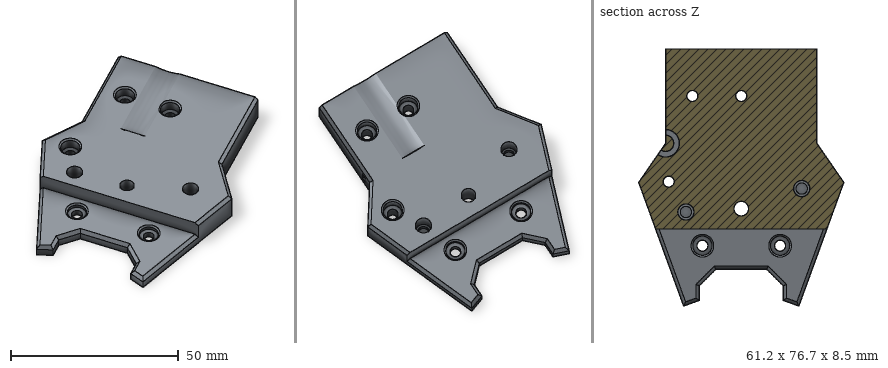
import cadquery as cq

LENGTH = 76.7
WIDTH = 61.2
HEIGHT = 8.5
STEP_HEIGHT = 3.45
STEP_Y = 22.9
EDGE_CHAMFER = 1.0

BACK_HALF_WIDTH = 22.55
SHOULDER_Y = 48.55
WIDEST_Y = 36.9
TIP_X = 17.2
NOTCH_HALF_WIDTH = 12.5
NOTCH_CORNER = 4.9
NOTCH_TOP_Y = 11.0

SCREW_DIAMETER = 3.2
HEAD_DIAMETER = 5.75
HEAD_CHAMFER = 0.5
UPPER_HEAD_FLOOR_Z = 5.0
LOWER_HEAD_FLOOR_Z = 2.0
UPPER_SCREWS = [(-14.6, 62.65), (0.0, 62.65), (-21.6, 37.1)]
LOWER_SCREWS = [(-11.6, 18.0), (11.6, 18.0)]

CENTRE_HOLE_DIAMETER = 4.3
CENTRE_HOLE_Y = 29.1
BLIND_DIAMETER = 4.75
BLIND_DEPTH = 5.4
PILOT_DIAMETER = 3.4
PILOT_FLOOR_Z = 1.5
BLIND_HOLES = [(-16.5, 28.1), (18.0, 35.05)]

GROOVE_X = -6.5
GROOVE_WIDTH = 7.75
GROOVE_DEPTH = 0.5
GROOVE_LENGTH = 27.15

TIE_INNER_RADIUS = 2.45
TIE_OUTER_RADIUS = 4.1
TIE_BOTTOM_Z = 2.2
TIE_HEIGHT = 3.2


def plate(height):
    """Full outline extruded to a height, chamfered on all top edges but the back one."""
    tip_slope = (WIDTH / 2 - TIP_X) / WIDEST_Y
    right_side = [
        (BACK_HALF_WIDTH, LENGTH),
        (BACK_HALF_WIDTH, SHOULDER_Y),
        (WIDTH / 2, WIDEST_Y),
        (TIP_X, 0),
        (NOTCH_HALF_WIDTH, (TIP_X - NOTCH_HALF_WIDTH) * tip_slope),
        (NOTCH_HALF_WIDTH, NOTCH_TOP_Y - NOTCH_CORNER),
        (NOTCH_HALF_WIDTH - NOTCH_CORNER, NOTCH_TOP_Y),
    ]
    left_side = [(-x, y) for x, y in reversed(right_side)]
    body = cq.Workplane("XY").polyline(right_side + left_side).close().extrude(height)
    back_edge = cq.selectors.NearestToPointSelector((0, LENGTH, height))
    top_edges = cq.selectors.StringSyntaxSelector(">Z")
    return body.edges(top_edges - back_edge).chamfer(EDGE_CHAMFER)


def cylinders(points, diameter, bottom, top):
    start = cq.Workplane("XY").workplane(offset=bottom)
    return start.pushPoints(points).circle(diameter / 2).extrude(top - bottom)


def screw_holes(points, floor, top):
    """Through holes with counterbores that open at the given top face."""
    mouth_radius = HEAD_DIAMETER / 2 + HEAD_CHAMFER
    mouth = cq.Solid.makeCone(HEAD_DIAMETER / 2, mouth_radius, HEAD_CHAMFER)
    mouths = cq.Workplane("XY").workplane(offset=top - HEAD_CHAMFER).pushPoints(points)
    mouths = mouths.eachpoint(mouth)
    heads = cylinders(points, HEAD_DIAMETER, floor, top)
    return cylinders(points, SCREW_DIAMETER, 0, top).union(heads).union(mouths)


def groove():
    half = GROOVE_WIDTH / 2
    return (
        cq.Workplane("XZ", origin=(GROOVE_X, LENGTH, HEIGHT))
        .moveTo(-half, 0)
        .threePointArc((0, -GROOVE_DEPTH), (half, 0))
        .close()
        .extrude(GROOVE_LENGTH)
    )


def tie_channel():
    return (
        cq.Workplane("XY", origin=(-BACK_HALF_WIDTH, SHOULDER_Y, TIE_BOTTOM_Z))
        .circle(TIE_OUTER_RADIUS)
        .circle(TIE_INNER_RADIUS)
        .extrude(TIE_HEIGHT)
    )


rear_zone = cq.Workplane("XY").box(WIDTH, LENGTH - STEP_Y, HEIGHT, centered=(True, False, False))
rear_block = plate(HEIGHT).intersect(rear_zone.translate((0, STEP_Y, 0)))
result = plate(STEP_HEIGHT).union(rear_block)

result = result.cut(screw_holes(UPPER_SCREWS, UPPER_HEAD_FLOOR_Z, HEIGHT))
result = result.cut(screw_holes(LOWER_SCREWS, LOWER_HEAD_FLOOR_Z, STEP_HEIGHT))
result = result.cut(cylinders([(0, CENTRE_HOLE_Y)], CENTRE_HOLE_DIAMETER, 0, HEIGHT))
result = result.cut(cylinders(BLIND_HOLES, BLIND_DIAMETER, HEIGHT - BLIND_DEPTH, HEIGHT))
result = result.cut(cylinders(BLIND_HOLES, PILOT_DIAMETER, PILOT_FLOOR_Z, HEIGHT))
result = result.cut(groove())
result = result.cut(tie_channel())